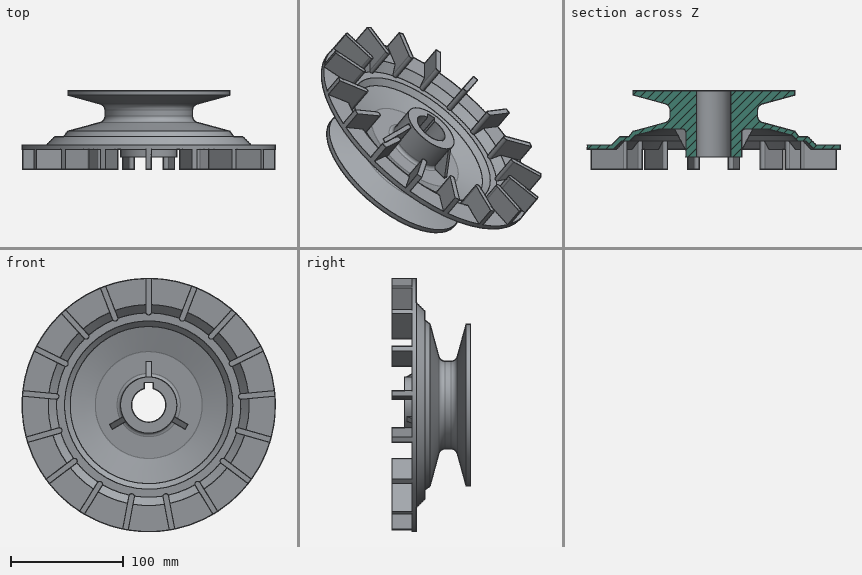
import cadquery as cq
import math


fan_radius = 112.5
trim_allowance = 2.2
total_length = 70.0
wall = 4.0

disc_front = 17.8
disc_back = disc_front + wall
step_outer_radius = 91.0
step_back = 29.2
step_inner_radius = 75.5
step_front = step_back - wall

rim_radius = 72.0
groove_diameter = 78.0
groove_radius = groove_diameter / 2
groove_half_width = 16.0
groove_floor_half_width = 2.7
groove_fillet = 5.6
flank_angle = math.radians(14.5)
groove_center = total_length - wall - groove_half_width

dish_lip_radius = 74.7
dish_radius = 69.8
plate_radius = 47.5

hub_radius = 25.0
hub_front = 11.0
hub_fillet = 3.2
bore_radius = 15.0
keyway_width = 7.6
keyway_top = 20.0

blade_count = 17
blade_width = 5.0
blade_inner_radius = 80.0

rib_count = 3
rib_width = 5.0
rib_outer_radius = 38.7
rib_front = 13.3

dish_start = step_front + dish_lip_radius - dish_radius
plate_front = dish_start + (dish_radius - plate_radius) * math.tan(flank_angle)

recess_radius = step_outer_radius + wall - wall * math.sqrt(2)
recess_floor_radius = recess_radius - (step_front - disc_front)


def groove_fillet_points(side):
    """Floor end, arc middle and flank end of one groove fillet; side is -1 (front) or 1 (back)."""
    center_y = groove_center + side * groove_floor_half_width
    center_radius = groove_radius + groove_fillet
    middle_angle = (math.pi / 2 + flank_angle) / 2

    def on_arc(angle):
        return (
            center_radius - groove_fillet * math.sin(angle),
            center_y + side * groove_fillet * math.cos(angle),
        )

    return on_arc(math.pi / 2), on_arc(middle_angle), on_arc(flank_angle)


def make_body():
    """Disc, steps, groove and hub as one revolved section of (radius, y) points."""
    front_floor, front_middle, front_flank = groove_fillet_points(-1)
    back_floor, back_middle, back_flank = groove_fillet_points(1)
    section = (
        cq.Workplane("XY")
        .moveTo(bore_radius, hub_front)
        .lineTo(hub_radius, hub_front)
        .lineTo(hub_radius, plate_front - hub_fillet)
        .radiusArc((hub_radius + hub_fillet, plate_front), hub_fillet)
        .lineTo(plate_radius, plate_front)
        .lineTo(dish_radius, dish_start)
        .lineTo(dish_lip_radius, step_front)
        .lineTo(recess_floor_radius, step_front)
        .lineTo(recess_radius, disc_front)
        .lineTo(fan_radius + trim_allowance, disc_front)
        .lineTo(fan_radius + trim_allowance, disc_back)
        .lineTo(step_outer_radius, disc_back)
        .lineTo(step_outer_radius - (step_back - disc_back), step_back)
        .lineTo(step_inner_radius, step_back)
        .lineTo(rim_radius, groove_center - groove_half_width)
        .lineTo(*front_flank)
        .threePointArc(front_middle, front_floor)
        .lineTo(*back_floor)
        .threePointArc(back_middle, back_flank)
        .lineTo(rim_radius, groove_center + groove_half_width)
        .lineTo(rim_radius, total_length)
        .lineTo(bore_radius, total_length)
        .close()
    )
    return section.revolve(360, (0, 0, 0), (0, 1, 0))


def make_keyway():
    return cq.Workplane("XY").box(
        keyway_width, total_length, keyway_top, centered=(True, False, False)
    )


def make_blade():
    """Upright blade with a rounded inner end, rooted half a wall deep in the step and disc.

    Its square tip overhangs the rim until it is trimmed.
    """
    step_root = step_front + wall / 2
    disc_root = disc_front + wall / 2
    round_center = blade_inner_radius + blade_width / 2
    blade = (
        cq.Workplane("YZ")
        .moveTo(0, round_center)
        .lineTo(step_root, round_center)
        .lineTo(disc_root, round_center + step_root - disc_root)
        .lineTo(disc_root, fan_radius + trim_allowance)
        .lineTo(0, fan_radius + trim_allowance)
        .close()
        .extrude(blade_width / 2, both=True)
    )
    nose = (
        cq.Workplane("XZ")
        .center(0, round_center)
        .circle(blade_width / 2)
        .extrude(-step_root)
    )
    return blade.union(nose)


def make_rib():
    """Upright triangular rib bracing the hub against the plate."""
    root_radius = (bore_radius + hub_radius) / 2
    root_y = plate_front + wall / 2
    return (
        cq.Workplane("YZ")
        .moveTo(rib_front, root_radius)
        .lineTo(rib_front, hub_radius)
        .lineTo(plate_front, rib_outer_radius)
        .lineTo(root_y, rib_outer_radius)
        .lineTo(root_y, root_radius)
        .close()
        .extrude(rib_width / 2, both=True)
    )


def make_fan_envelope():
    """Cylinder that trims the disc and the blade tips to the same outer radius."""
    return cq.Workplane("XZ").circle(fan_radius).extrude(-total_length)


def add_around_axis(body, piece, count):
    for index in range(count):
        body = body.union(piece.rotate((0, 0, 0), (0, 1, 0), index * 360 / count))
    return body


result = make_body()
result = add_around_axis(result, make_blade(), blade_count)
result = result.intersect(make_fan_envelope())
result = add_around_axis(result, make_rib(), rib_count)
result = result.cut(make_keyway())